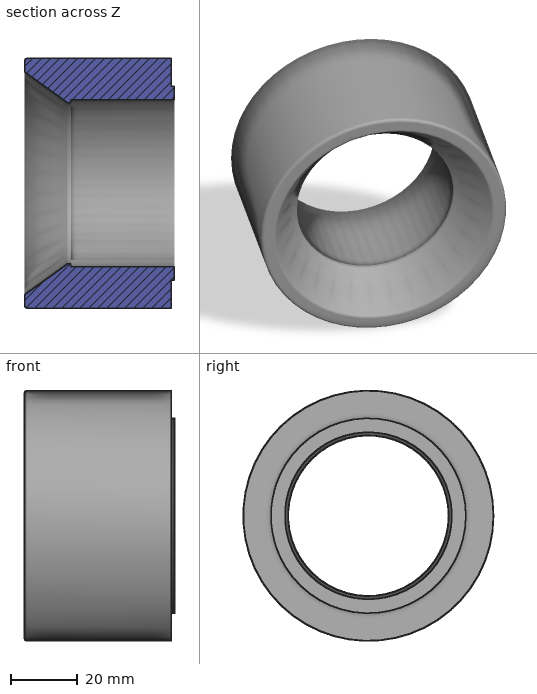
import cadquery as cq

outer_diameter = 75.0
total_length = 45.0
edge_fillet = 1.0

rim_diameter = 58.35
rim_height = 1.0

seat_diameter = 66.7
seat_depth = 13.0

throat_diameter = 48.0
throat_length = 1.0
bore_diameter = 50.0

front_x = -total_length / 2
back_x = total_length / 2
shoulder_x = back_x - rim_height
throat_start_x = front_x + seat_depth
throat_end_x = throat_start_x + throat_length

section = (
    cq.Workplane("XY")
    .moveTo(front_x, seat_diameter / 2)
    .lineTo(front_x, outer_diameter / 2)
    .lineTo(shoulder_x, outer_diameter / 2)
    .lineTo(shoulder_x, rim_diameter / 2)
    .lineTo(back_x, rim_diameter / 2)
    .lineTo(back_x, bore_diameter / 2)
    .lineTo(throat_end_x, bore_diameter / 2)
    .lineTo(throat_end_x, throat_diameter / 2)
    .lineTo(throat_start_x, throat_diameter / 2)
    .close()
)
ring = section.revolve(360, (0, 0, 0), (1, 0, 0))

result = ring.faces("<X").edges().fillet(edge_fillet)